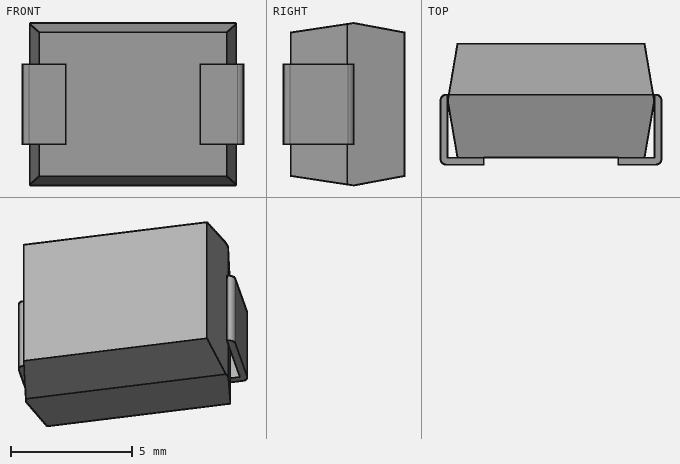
import cadquery as cq

overall_length = 9.12
overall_depth = 5.0
housing_height = 6.7

strip_thickness = 0.3
strip_width = 3.3
bend_radius = 0.255
foot_length = 1.8
lead_rise = 2.9

end_taper = 0.4
top_taper = 0.39
front_y = strip_thickness
back_y = overall_depth
end_ridge_y = 2.64
top_ridge_y = lead_rise
housing_length = overall_length - 2 * strip_thickness


def ridged_outline(width, ridge_y, taper):
    """Points (across, y) of a hexagon that is widest at ridge_y."""
    ridge = width / 2
    face = ridge - taper
    return [
        (-face, front_y),
        (face, front_y),
        (ridge, ridge_y),
        (face, back_y),
        (-face, back_y),
        (-ridge, ridge_y),
    ]


def make_housing():
    """Common volume of a prism with ridged ends and one with ridged top and bottom."""
    ridged_ends = (
        cq.Workplane("XY")
        .polyline(ridged_outline(housing_length, end_ridge_y, end_taper))
        .close()
        .extrude(housing_height / 2, both=True)
    )
    ridged_top_and_bottom = (
        cq.Workplane("ZY")
        .polyline(ridged_outline(housing_height, top_ridge_y, top_taper))
        .close()
        .extrude(housing_length / 2, both=True)
    )
    return ridged_ends.intersect(ridged_top_and_bottom)


def make_lead(side):
    """L-shaped strip with rounded outer corners; side is -1 for the -X end, 1 for the +X end."""
    outer_x = side * overall_length / 2
    inner_x = outer_x - side * strip_thickness
    toe_x = outer_x - side * foot_length
    outline = [
        (outer_x, 0),
        (toe_x, 0),
        (toe_x, strip_thickness),
        (inner_x, strip_thickness),
        (inner_x, lead_rise),
        (outer_x, lead_rise),
    ]
    outer_corners = "|Z and <X" if side < 0 else "|Z and >X"
    return (
        cq.Workplane("XY")
        .polyline(outline)
        .close()
        .extrude(strip_width / 2, both=True)
        .edges(outer_corners)
        .fillet(bend_radius)
    )


housing = make_housing()
leads = [make_lead(side) for side in (-1, 1)]

result = cq.Compound.makeCompound([housing.val(), *[lead.val() for lead in leads]])